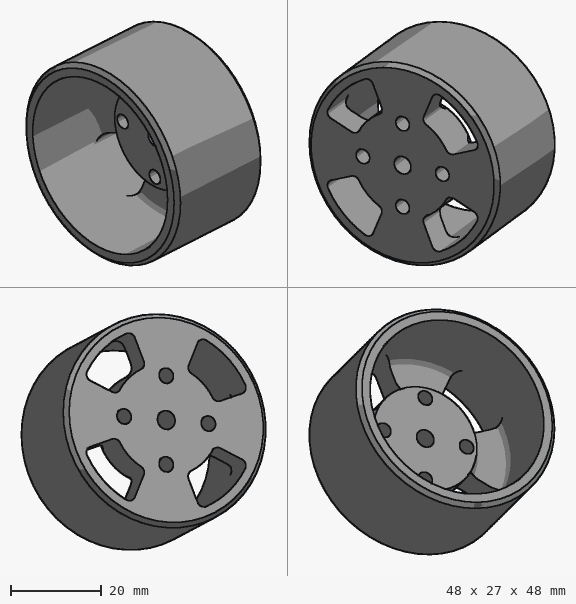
import cadquery as cq
import math

wheel_radius = 24.0
width = 27.0
rim_chamfer = 1.0
bore_radius = 21.0
hub_radius = 12.5
web_depth = 20.0
root_radius = 3.0
hub_face_depth = web_depth - root_radius

axle_hole_diameter = 4.2
bolt_hole_diameter = 3.4
bolt_circle_radius = 10.0
spoke_count = 4
spoke_half_angle = 22.5
window_corner_radius = 1.5


def front_disc(radius, length):
    """Cylinder on the axle, starting at the front edge of the rim."""
    return cq.Workplane("XZ").circle(radius).extrude(-length)


def front_cavity():
    """Annular space between hub and rim, with rounded roots, opened in front of the hub."""
    arc_offset = root_radius * (1 - math.sqrt(0.5))
    arc_depth = web_depth - arc_offset
    profile = (
        cq.Workplane("XY")
        .lineTo(bore_radius, 0)
        .lineTo(bore_radius, hub_face_depth)
        .threePointArc((bore_radius - arc_offset, arc_depth), (bore_radius - root_radius, web_depth))
        .lineTo(hub_radius + root_radius, web_depth)
        .threePointArc((hub_radius + arc_offset, arc_depth), (hub_radius, hub_face_depth))
        .lineTo(0, hub_face_depth)
        .close()
    )
    return profile.revolve(360, (0, 0, 0), (0, 1, 0))


def polar(radius, degrees):
    angle = math.radians(degrees)
    return (radius * math.cos(angle), radius * math.sin(angle))


def window(middle_angle):
    """Through opening between two spokes, bounded by radial sides and rounded corners."""
    half_angle = 180 / spoke_count - spoke_half_angle
    start = middle_angle - half_angle
    end = middle_angle + half_angle
    return (
        cq.Workplane("XZ")
        .moveTo(*polar(hub_radius, start))
        .lineTo(*polar(bore_radius, start))
        .threePointArc(polar(bore_radius, middle_angle), polar(bore_radius, end))
        .lineTo(*polar(hub_radius, end))
        .threePointArc(polar(hub_radius, middle_angle), polar(hub_radius, start))
        .close()
        .extrude(-width)
        .edges("|Y")
        .fillet(window_corner_radius)
    )


spider = front_disc(bore_radius, width).cut(front_cavity())

spoke_pitch = 360 / spoke_count
for index in range(spoke_count):
    spider = spider.cut(window((index + 0.5) * spoke_pitch))

spider = spider.cut(front_disc(axle_hole_diameter / 2, width))
bolt_holes = (
    cq.Workplane("XZ")
    .polarArray(bolt_circle_radius, 0, 360, spoke_count)
    .circle(bolt_hole_diameter / 2)
    .extrude(-width)
)
spider = spider.cut(bolt_holes)

rim = front_disc(wheel_radius, width).faces("<Y or >Y").chamfer(rim_chamfer)
rim = rim.cut(front_disc(bore_radius, width))
result = rim.union(spider)